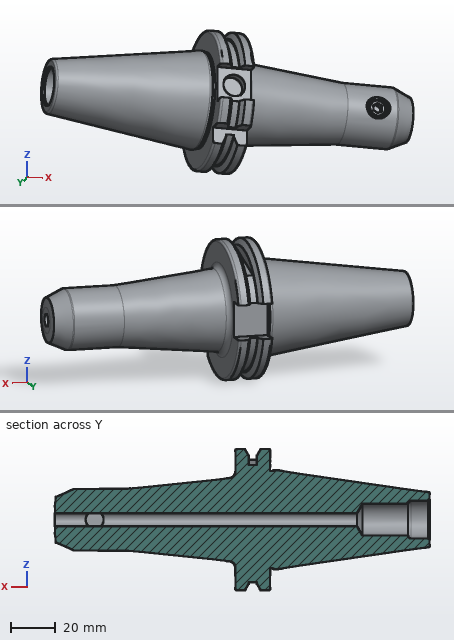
import cadquery as cq
import math

total_length = 168.4

match_tolerance = 0.02

taper_end_x = 69.0
taper_end_radius = 22.4
taper_slope = 7 / 48
taper_start_radius = taper_end_radius - taper_slope * taper_end_x
taper_edge_round = 1.0
taper_rim_end_x = 70.2
taper_rim_radius = 22.2
neck_start_x = 70.5
neck_radius = 21.9

flange_start_x = 71.5
flange_width = 15.8
flange_end_x = flange_start_x + flange_width
flange_diameter = 63.5
flange_radius = flange_diameter / 2
flange_edge_round = 1.0
groove_center_x = 79.5
groove_floor_width = 3.5
groove_floor_radius = 28.1
groove_bevel_radius = 28.8
groove_bevel_angle = 30.0
groove_flat_distance = 23.9
groove_flat_tilt = 15.0

drive_slot_width = 16.0
front_slot_floor = 25.1
back_slot_floor = 22.5
notch_inner_edge = 18.5
chip_hole_radius = 5.0
chip_hole_depth = 4.5

nose_root_radius = 19.0
nose_root_round = 2.7
nose_cylinder_start_x = 136.0
nose_cylinder_radius = 14.0
nose_tip_start_x = 159.6
nose_shoulder_round = 1.3
nose_tip_end_x = 167.9
nose_tip_radius = 10.3
nose_face_radius = 5.9

through_bore_radius = 2.9
mouth_bore_radius = 8.5
thread_bore_radius = 7.0
mouth_bore_depth = 8.5
mouth_bore_floor_round = mouth_bore_radius - thread_bore_radius
mouth_chamfer = 0.5
mouth_chamfer_length = 0.8
thread_bore_depth = 30.3
drill_point_angle = 60.0

screw_x = 150.4
screw_radius = 4.0
screw_head_y = -12.6
screw_edge_chamfer = 0.5
socket_across_flats = 4.0
socket_depth = 3.0
recess_radius = 5.0
recess_floor_y = -13.0
recess_chamfer = 0.5


def turned_outline():
    """Solid of revolution: taper, neck, flange blank and nose."""
    outline = [
        (0, 0),
        (0, taper_start_radius),
        (taper_end_x, taper_end_radius),
        (taper_rim_end_x, taper_rim_radius),
        (neck_start_x, neck_radius),
        (flange_start_x, neck_radius),
        (flange_start_x, flange_radius),
        (flange_end_x, flange_radius),
        (flange_end_x, nose_root_radius),
        (nose_cylinder_start_x, nose_cylinder_radius),
        (nose_tip_start_x, nose_cylinder_radius),
        (nose_tip_end_x, nose_tip_radius),
        (total_length, nose_face_radius),
        (total_length, 0),
    ]
    blank = cq.Workplane("XY").polyline(outline).close().revolve(360, (0, 0, 0), (1, 0, 0))
    blank = round_circle(blank, 0, taper_start_radius, taper_edge_round)
    for x in (flange_start_x, flange_end_x):
        blank = round_circle(blank, x, flange_radius, flange_edge_round)
    blank = round_circle(blank, flange_end_x, nose_root_radius, nose_root_round)
    return round_circle(blank, nose_tip_start_x, nose_cylinder_radius, nose_shoulder_round)


def round_circle(body, x, radius, fillet_radius):
    """Fillet the circular edge of the given radius at the given place along X."""
    edges = [
        edge
        for edge in body.val().Edges()
        if edge.geomType() == "CIRCLE"
        and abs(edge.radius() - radius) < match_tolerance
        and abs(edge.Center().x - x) < match_tolerance
    ]
    return body.newObject(edges).fillet(fillet_radius)


def gripper_groove():
    """Ring with straight lower walls and bevelled upper walls."""
    floor_half = groove_floor_width / 2
    rim_half = floor_half + (flange_radius - groove_bevel_radius) * math.tan(math.radians(groove_bevel_angle))
    section = [
        (groove_center_x - rim_half, flange_radius),
        (groove_center_x - floor_half, groove_bevel_radius),
        (groove_center_x - floor_half, groove_floor_radius),
        (groove_center_x + floor_half, groove_floor_radius),
        (groove_center_x + floor_half, groove_bevel_radius),
        (groove_center_x + rim_half, flange_radius),
    ]
    return cq.Workplane("XY").polyline(section).close().revolve(360, (0, 0, 0), (1, 0, 0))


def groove_flat():
    """Tilted flat cut into the groove floor near the top, as wide as the floor."""
    cutter = (
        cq.Workplane("XY", origin=(groove_center_x, 0, groove_flat_distance))
        .rect(groove_floor_width, flange_diameter)
        .extrude(flange_radius)
    )
    return cutter.rotate((0, 0, 0), (1, 0, 0), -groove_flat_tilt)


def flange_block(y_min, y_max, z_min, z_max):
    """Box across the full flange width."""
    corner = cq.Workplane("XY", origin=(flange_start_x, y_min, z_min))
    return corner.box(flange_width, y_max - y_min, z_max - z_min, centered=False)


def flange_cutouts():
    """Two drive slots, the corner notch and the round hole in the front slot floor."""
    half_slot = drive_slot_width / 2
    front_slot = flange_block(-flange_radius, -front_slot_floor, -half_slot, half_slot)
    back_slot = flange_block(back_slot_floor, flange_radius, -half_slot, half_slot)
    notch = flange_block(-flange_radius, -notch_inner_edge, -flange_radius, -notch_inner_edge)
    chip_hole = (
        cq.Workplane("XZ", origin=((flange_start_x + flange_end_x) / 2, -front_slot_floor, 0))
        .circle(chip_hole_radius)
        .extrude(-chip_hole_depth)
    )
    return front_slot.union(back_slot).union(notch).union(chip_hole)


def axial_bore():
    """Stepped bore from the taper end with a drill point, and the small bore through the part."""
    drill_point_length = (thread_bore_radius - through_bore_radius) / math.tan(math.radians(drill_point_angle))
    drill_point_end_x = thread_bore_depth + drill_point_length
    arc_middle = math.sin(math.radians(45)) * mouth_bore_floor_round
    bore = (
        cq.Workplane("XY")
        .moveTo(0, 0)
        .lineTo(0, mouth_bore_radius + mouth_chamfer)
        .lineTo(mouth_chamfer_length, mouth_bore_radius)
        .lineTo(mouth_bore_depth, mouth_bore_radius)
        .threePointArc(
            (mouth_bore_depth + arc_middle, thread_bore_radius + arc_middle),
            (mouth_bore_depth + mouth_bore_floor_round, thread_bore_radius),
        )
        .lineTo(thread_bore_depth, thread_bore_radius)
        .lineTo(drill_point_end_x, through_bore_radius)
        .lineTo(total_length, through_bore_radius)
        .lineTo(total_length, 0)
        .close()
    )
    return bore.revolve(360, (0, 0, 0), (1, 0, 0))


def screw_hole():
    """Hole for the set screw from the nose surface to the axis, with a chamfered recess at its mouth."""
    half_section = [
        (0, 0),
        (screw_radius, 0),
        (screw_radius, recess_floor_y),
        (recess_radius, recess_floor_y),
        (recess_radius, recess_chamfer - nose_cylinder_radius),
        (recess_radius + recess_chamfer, -nose_cylinder_radius),
        (0, -nose_cylinder_radius),
    ]
    half_hole = cq.Workplane("XY").polyline(half_section).close()
    return half_hole.revolve(360, (0, 0, 0), (0, 1, 0)).translate((screw_x, 0, 0))


def make_holder():
    holder = turned_outline().cut(gripper_groove()).cut(groove_flat()).cut(flange_cutouts())
    return holder.cut(axial_bore()).cut(screw_hole())


def make_set_screw():
    """Headless screw with a hexagon socket; its tip reaches the wall line of the through bore."""
    length = -screw_head_y - through_bore_radius
    hexagon_turn = 30
    socket_diameter = socket_across_flats / math.cos(math.radians(hexagon_turn))
    head_plane = cq.Workplane("XZ", origin=(screw_x, screw_head_y, 0))
    screw = head_plane.circle(screw_radius).extrude(-length).faces("<Y").chamfer(screw_edge_chamfer)
    socket = head_plane.polygon(6, socket_diameter).extrude(-socket_depth)
    return screw.cut(socket.rotate((screw_x, 0, 0), (screw_x, 1, 0), hexagon_turn))


holder = make_holder()
set_screw = make_set_screw()

result = cq.Compound.makeCompound([holder.val(), set_screw.val()])